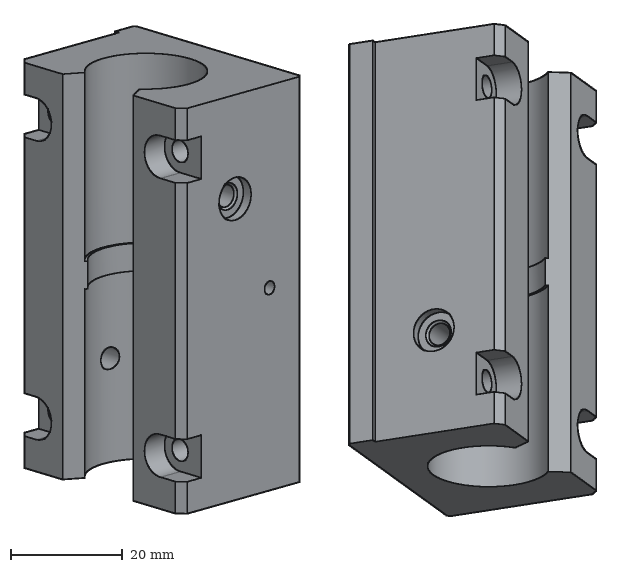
import cadquery as cq
import math

width = 43.0
depth = 30.0
length = 76.0
right_x = width / 2
left_x = -right_x
back_y = depth / 2
front_y = -back_y
mid_z = length / 2

lip_overhang = 1.0
lip_thickness = 5.0
front_chamfer = 1.5
back_chamfer = 0.5

bore_radius = 11.0
bore_height = 12.0
bore_y = front_y + bore_height
land_radius = 10.5
land_length = 5.2
mouth_half_width = 9.1
mouth_half_angle = 30.0

mount_spacing_x = 32.0
mount_spacing_z = 56.0
mount_diameter = 4.13
pocket_width = 8.0
pocket_depth = 5.0

screw_offset = 1.4
screw_y = bore_y + screw_offset
screw_end_offset = 19.5
screw_diameter = 4.13
screw_mouth_diameter = 5.0
spotface_diameter = 8.0
spotface_depth = 2.0

oil_diameter = 2.5
oil_offset = 10.0
oil_y = bore_y + oil_offset
oil_end_x = 0.0


def make_block():
    """Block with a lip along the back left edge and bevelled long edges."""
    side_x = left_x + lip_overhang
    lip_y = back_y - lip_thickness
    outline = [
        (side_x + front_chamfer, front_y),
        (right_x - front_chamfer, front_y),
        (right_x, front_y + front_chamfer),
        (right_x, back_y - back_chamfer),
        (right_x - back_chamfer, back_y),
        (left_x + back_chamfer, back_y),
        (left_x, back_y - back_chamfer),
        (left_x, lip_y),
        (side_x, lip_y),
        (side_x, front_y + front_chamfer),
    ]
    return cq.Workplane("XY").polyline(outline).close().extrude(length)


def make_bore():
    """Bore from both ends, narrowed at mid length by the land."""
    end_length = (length - land_length) / 2
    base = cq.Workplane("XY").center(0, bore_y)
    core = base.circle(land_radius).extrude(length)
    lower = base.circle(bore_radius).extrude(end_length)
    upper = lower.translate((0, 0, length - end_length))
    return core.union(lower).union(upper)


def make_mouth():
    """Full-length slot that narrows from the front face to the bore."""
    inner_half_width = mouth_half_width - bore_height * math.tan(math.radians(mouth_half_angle))
    outline = [
        (-mouth_half_width, front_y),
        (mouth_half_width, front_y),
        (inner_half_width, bore_y),
        (-inner_half_width, bore_y),
    ]
    return cq.Workplane("XY").polyline(outline).close().extrude(length)


def make_mount(side, z):
    """Through hole along Y and its round-ended pocket, open to one side (-1 left, +1 right)."""
    x = side * mount_spacing_x / 2
    open_length = right_x - abs(x)
    front = cq.Workplane("XZ", origin=(x, front_y, z))
    hole = front.circle(mount_diameter / 2).extrude(-depth)
    round_end = front.circle(pocket_width / 2).extrude(-pocket_depth)
    open_end = front.center(side * open_length / 2, 0).rect(open_length, pocket_width).extrude(-pocket_depth)
    return hole.union(round_end).union(open_end)


def cylinder_along_x(diameter, start_x, end_x, y, z):
    """Cylinder parallel to X between two X positions."""
    plane = cq.Workplane("YZ", origin=(start_x, y, z))
    return plane.circle(diameter / 2).extrude(end_x - start_x)


def make_screw_hole(face_x, z):
    """Spot-faced hole with a countersunk mouth, from a side face into the bore."""
    inward = -math.copysign(1, face_x)
    floor_x = face_x + inward * spotface_depth
    countersink_depth = (screw_mouth_diameter - screw_diameter) / 2
    spotface = cylinder_along_x(spotface_diameter, face_x, floor_x, screw_y, z)
    hole = cylinder_along_x(screw_diameter, face_x, 0, screw_y, z)
    countersink = (
        cq.Workplane("YZ", origin=(floor_x, screw_y, z))
        .circle(screw_mouth_diameter / 2)
        .workplane(offset=inward * countersink_depth)
        .circle(screw_diameter / 2)
        .loft()
    )
    return spotface.union(hole).union(countersink)


def make_oil_hole():
    """Blind hole along X with a round end; it breaks into the back of the bore."""
    radius = oil_diameter / 2
    return (
        cq.Workplane("XY", origin=(0, oil_y, mid_z))
        .moveTo(right_x, 0)
        .lineTo(right_x, radius)
        .lineTo(oil_end_x, radius)
        .radiusArc((oil_end_x - radius, 0), -radius)
        .close()
        .revolve(360, (0, 0, 0), (1, 0, 0))
    )


result = make_block().cut(make_bore()).cut(make_mouth())

for side in (-1, 1):
    for end in (-1, 1):
        result = result.cut(make_mount(side, mid_z + end * mount_spacing_z / 2))

result = result.cut(make_screw_hole(left_x + lip_overhang, screw_end_offset))
result = result.cut(make_screw_hole(right_x, length - screw_end_offset))
result = result.cut(make_oil_hole())